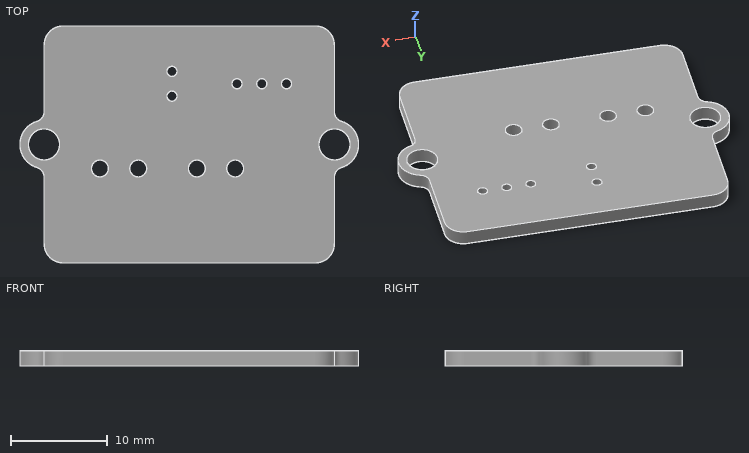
import cadquery as cq

overall_length = 34.98
plate_length = 29.98
plate_width = 24.5
thickness = 1.6
corner_radius = 2.0

ear_x = plate_length / 2
ear_radius = (overall_length - plate_length) / 2
ear_fillet = 1.0
ear_hole_diameter = 3.2

large_hole_diameter = 1.7
large_pair_spacing = 3.95
large_pair_centers_x = (-7.25, 2.75)
large_row_y = -2.5

small_hole_diameter = 1.0
small_pitch = 2.55
small_row_center = (7.5, 6.25)
small_pair_center = (-1.8, 6.25)


def make_plate():
    """Rounded plate with ears blended into its short sides."""
    plate = (
        cq.Workplane("XY")
        .rect(plate_length, plate_width)
        .extrude(thickness)
        .edges("|Z")
        .fillet(corner_radius)
    )
    ears = (
        cq.Workplane("XY")
        .pushPoints([(-ear_x, 0), (ear_x, 0)])
        .circle(ear_radius)
        .extrude(thickness)
    )
    body = plate.union(ears)

    margin = 0.35
    junction_zone = cq.selectors.BoxSelector(
        (-ear_x - margin, -ear_radius - margin, -margin),
        (ear_x + margin, ear_radius + margin, thickness + margin),
    )
    return body.edges("|Z").edges(junction_zone).fillet(ear_fillet)


def drill(body, points, diameter):
    """Cut through holes at the given points."""
    holes = cq.Workplane("XY").pushPoints(points).circle(diameter / 2).extrude(thickness)
    return body.cut(holes)


large_points = [
    (center_x + side * large_pair_spacing / 2, large_row_y)
    for center_x in large_pair_centers_x
    for side in (-1, 1)
]

row_x, row_y = small_row_center
pair_x, pair_y = small_pair_center
small_points = [(row_x + step * small_pitch, row_y) for step in (-1, 0, 1)]
small_points += [(pair_x, pair_y + side * small_pitch / 2) for side in (-1, 1)]

result = make_plate()
result = drill(result, [(-ear_x, 0), (ear_x, 0)], ear_hole_diameter)
result = drill(result, large_points, large_hole_diameter)
result = drill(result, small_points, small_hole_diameter)